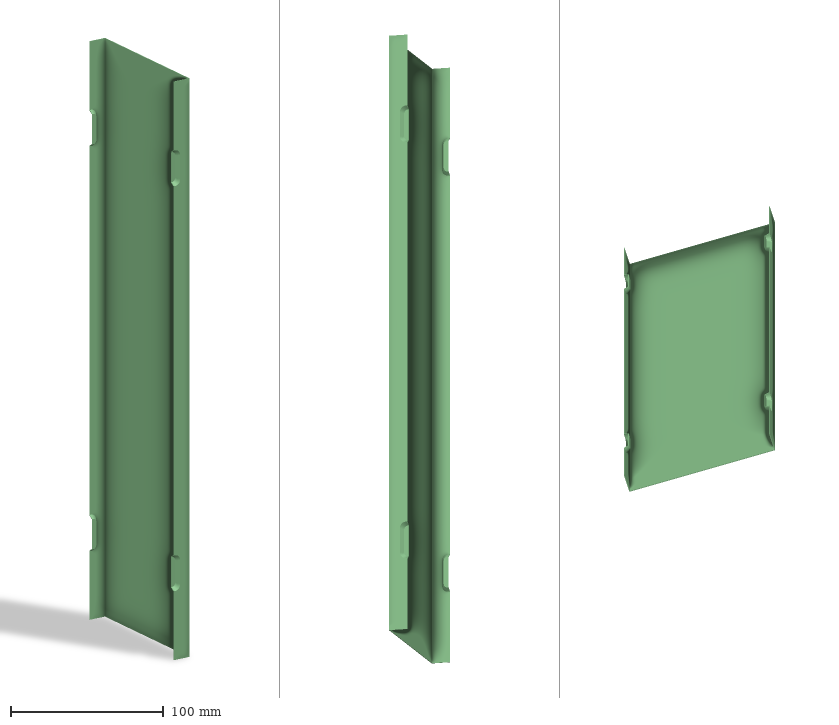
import cadquery as cq
import math

width = 100.0
depth = 12.5
height = 400.0
sheet = 0.5

dimple_end_distance = 60.0
dimple_press = 3.0
mouth_length = 24.6
mouth_reach = 5.0
wall_inset = 2.0
mouth_corner_radius = 4.0
floor_corner_radius = 2.5

front_y = -depth / 2
outer_x = width / 2
dimple_center_z = height / 2 - dimple_end_distance

wall_angle = math.atan2(wall_inset, dimple_press)
inner_skin_growth = sheet * (1 / math.cos(wall_angle) - math.tan(wall_angle))


def make_envelope():
    """Solid block with the outer size of the channel, centred on the origin."""
    return cq.Workplane("XY").box(width, depth, height)


def make_channel():
    """U-shaped channel with its web at +Y, open towards -Y."""
    inside = (
        cq.Workplane("XY")
        .box(width - 2 * sheet, depth, height)
        .translate((0, -sheet, 0))
    )
    return make_envelope().cut(inside)


def rounded_outline(inset, corner_radius):
    """Mouth outline moved inward by an inset, mirrored about the free edge."""
    length = mouth_length - 2 * inset
    reach = mouth_reach - inset
    return cq.Sketch().rect(2 * reach, length).vertices().fillet(corner_radius)


def make_dimple_plug(start_depth, growth, center_z):
    """Plug in the -X flange that narrows inward and ends flush with the free edge."""
    mouth = rounded_outline(-growth, mouth_corner_radius + growth)
    floor = rounded_outline(wall_inset - growth, floor_corner_radius + growth)
    raised_floor = floor.moved(cq.Location(cq.Vector(0, 0, dimple_press)))
    plug = (
        cq.Workplane("YZ", origin=(start_depth - outer_x, front_y, center_z))
        .placeSketch(mouth, raised_floor)
        .loft()
    )
    return plug.intersect(make_envelope())


def press_dimples(channel):
    """Press a dimple into both flanges near each end of the channel."""
    for center_z in (-dimple_center_z, dimple_center_z):
        bump = make_dimple_plug(sheet, inner_skin_growth, center_z)
        recess = make_dimple_plug(0, 0, center_z)
        channel = channel.union(bump).union(bump.mirror("YZ"))
        channel = channel.cut(recess).cut(recess.mirror("YZ"))
    return channel


result = press_dimples(make_channel())